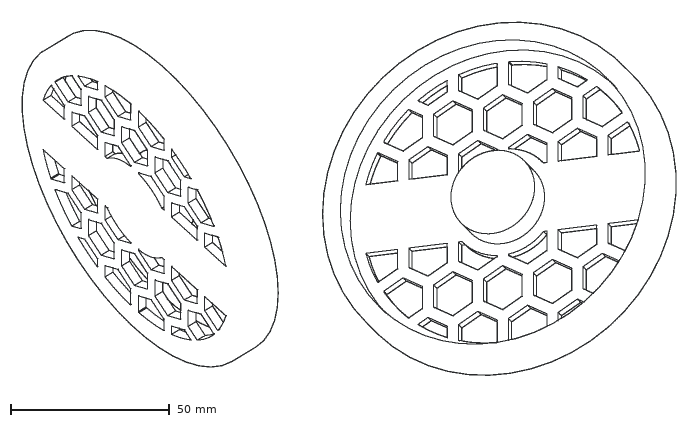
import cadquery as cq
import math

outer_radius = 57.2
total_depth = 12.7
edge_fillet = 1.6
front_y = -total_depth / 2

plate_thickness = 3.2
rim_inner_radius = 50.7
hub_radius = 14.0

hex_across_flats = 12.8
web_width = 3.8
hex_pitch = hex_across_flats + web_width
row_pitch = hex_pitch * math.sqrt(3) / 2
rows_each_side = 3
columns_each_side = 4

grille_radius = 47.0
center_disc_radius = 17.8
band_half_height = 11.5


def cylinder(radius, start_y, length):
    """Cylinder on the disc axis, running back from start_y."""
    return cq.Workplane("XZ", origin=(0, start_y, 0)).circle(radius).extrude(-length)


def make_disc():
    """Rounded disc hollowed from the back, leaving the plate, the rim and the hub."""
    disc = cylinder(outer_radius, front_y, total_depth).edges().fillet(edge_fillet)
    cavity_depth = total_depth - plate_thickness
    cavity_start_y = front_y + plate_thickness
    cavity = cylinder(rim_inner_radius, cavity_start_y, cavity_depth)
    cavity = cavity.cut(cylinder(hub_radius, cavity_start_y, cavity_depth))
    return disc.cut(cavity)


def hexagon_centers():
    """Centres (x, z) of the staggered rows above and below the middle band."""
    centers = []
    for row in range(1, rows_each_side + 1):
        stagger = hex_pitch / 2 if row % 2 else 0
        for column in range(-columns_each_side, columns_each_side + 1):
            x = column * hex_pitch + stagger
            centers.append((x, row * row_pitch))
            centers.append((x, -row * row_pitch))
    return centers


def hexagon_corners():
    """Corners of one hexagon about its centre, two of them pointing along Z."""
    corner_radius = hex_across_flats / math.sqrt(3)
    angles = [math.radians(30 + 60 * corner) for corner in range(6)]
    return [(corner_radius * math.cos(angle), corner_radius * math.sin(angle)) for angle in angles]


def make_hexagons():
    """Hexagonal prisms through the plate, one at each honeycomb centre."""
    corners = hexagon_corners()
    plane = cq.Workplane("XZ", origin=(0, front_y, 0))
    for x, z in hexagon_centers():
        outline = [(x + dx, z + dz) for dx, dz in corners]
        plane = plane.polyline(outline).close()
    return plane.extrude(-plate_thickness)


def make_openings():
    """Hexagons trimmed to the grille circle, clear of the centre disc and the band."""
    region = cylinder(grille_radius, front_y, plate_thickness)
    center_disc = cylinder(center_disc_radius, front_y, plate_thickness)
    band = cq.Workplane("XY").box(2 * outer_radius, total_depth, 2 * band_half_height)
    return region.cut(center_disc).cut(band).intersect(make_hexagons())


result = make_disc().cut(make_openings())